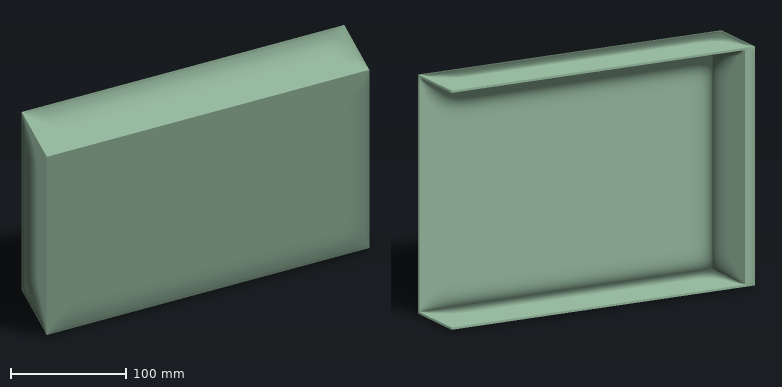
import cadquery as cq

depth = 60.0
length = 300.0
height = 215.0

sheet = 2.0
end_wall = 10.0

block = cq.Workplane("XY").box(depth, length, height)

cavity = (
    cq.Workplane("XY")
    .box(depth - sheet, length - end_wall, height - 2 * sheet)
    .translate((-sheet / 2, end_wall / 2, 0))
)

result = block.cut(cavity)